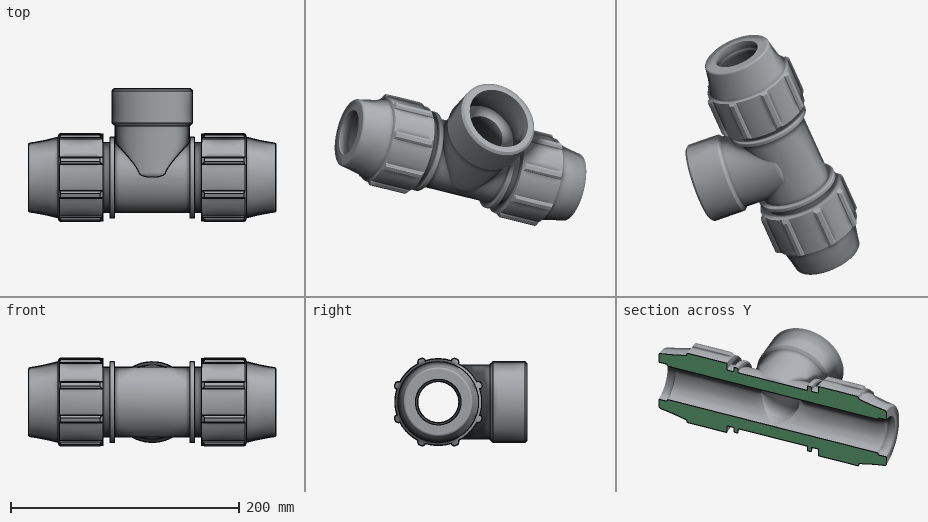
import cadquery as cq
import math

run_length = 217.0
half_run = run_length / 2
branch_end = 78.0

run_radius = 61.5 / 2
bore_radius = 36.0 / 2
socket_radius = 40.0 / 2
socket_depth = 7.3
socket_cone_length = 1.2

ring_radius = 71.34 / 2
ring_start = 33.0
ring_width = 4.1
ring_round = 1.0

nose_face_radius = 56.66 / 2
nose_rim_round = 2.0
nose_rim_slope = math.radians(10)
nose_base_radius = 70.82 / 2
nose_length = 26.0
nose_sag = 0.4
nut_end = 65.1
nut_radius = 38.1

rib_count = 8
rib_top_radius = 41.03
rib_top_width = 3.5
rib_shoulder_radius = 39.2
rib_width = 6.8
rib_embed = 1.0
rib_root_radius = nut_radius - rib_embed
rib_front_bevel = 2.1
rib_back_bevel = 2.6
rib_clearance = 1.0
rib_blank_radius = math.hypot(rib_top_radius, rib_top_width / 2) + rib_clearance

neck_radius = 65.15 / 2
neck_start = -0.8
neck_round = 5.0
collar_radius = 70.82 / 2
collar_length = 30.0
collar_mouth_chamfer = 2.0
collar_back_chamfer = collar_radius - neck_radius
thread_radius = 56.66 / 2
thread_depth = collar_length


def along_x(radius, start, length):
    return cq.Workplane("YZ", origin=(start, 0, 0)).circle(radius).extrude(length)


def along_y(radius, start, length):
    return cq.Workplane("XZ", origin=(0, start, 0)).circle(radius).extrude(-length)


def revolve_about_x(outline):
    return outline.close().revolve(360, (0, 0, 0), (1, 0, 0))


def rim_point(angle):
    """Point (x, radius) on the rounded rim of the nose; the angle starts at the flat end face."""
    x = -half_run + nose_rim_round * (1 - math.cos(angle))
    return x, nose_face_radius + nose_rim_round * math.sin(angle)


def nose():
    """Tapered front of the nut, at the -X end of the run."""
    round_end_angle = math.pi / 2 - nose_rim_slope
    rim_x, rim_radius = rim_point(round_end_angle)
    base_x = -half_run + nose_length
    sag_point = ((rim_x + base_x) / 2, (rim_radius + nose_base_radius) / 2 - nose_sag)
    outline = (
        cq.Workplane("XY")
        .moveTo(-half_run, 0)
        .lineTo(-half_run, nose_face_radius)
        .threePointArc(rim_point(round_end_angle / 2), (rim_x, rim_radius))
        .threePointArc(sag_point, (base_x, nose_base_radius))
        .lineTo(base_x, 0)
    )
    return revolve_about_x(outline)


def grip_envelope():
    """Turned shape that bevels both ends of the grip and its ribs."""
    base_x = -half_run + nose_length
    back_x = -half_run + nut_end
    outline = (
        cq.Workplane("XY")
        .moveTo(base_x, 0)
        .lineTo(base_x, nose_base_radius)
        .lineTo(base_x + rib_front_bevel, rib_top_radius)
        .lineTo(base_x + rib_front_bevel, rib_blank_radius)
        .lineTo(back_x - rib_back_bevel, rib_blank_radius)
        .lineTo(back_x - rib_back_bevel, rib_top_radius)
        .lineTo(back_x, nut_radius)
        .lineTo(back_x, 0)
    )
    return revolve_about_x(outline)


def rib():
    return (
        cq.Workplane("YZ", origin=(-half_run + nose_length, 0, 0))
        .moveTo(-rib_width / 2, rib_root_radius)
        .lineTo(-rib_width / 2, rib_shoulder_radius)
        .lineTo(-rib_top_width / 2, rib_top_radius)
        .lineTo(rib_top_width / 2, rib_top_radius)
        .lineTo(rib_width / 2, rib_shoulder_radius)
        .lineTo(rib_width / 2, rib_root_radius)
        .close()
        .extrude(nut_end - nose_length)
    )


def grip():
    """Ribbed gripping part of the nut."""
    blank = along_x(nut_radius, -half_run + nose_length, nut_end - nose_length)
    pitch = 360 / rib_count
    for i in range(rib_count):
        blank = blank.union(rib().rotate((0, 0, 0), (1, 0, 0), (i + 0.5) * pitch))
    return blank.intersect(grip_envelope())


def stop_ring():
    """Ring with rounded edges on the -X side of the branch."""
    return along_x(ring_radius, -ring_start - ring_width, ring_width).edges("%CIRCLE").fillet(ring_round)


def socket():
    """Entry of the run bore at the -X end, narrowing to the bore through a cone."""
    cone_start = -half_run + socket_depth
    outline = (
        cq.Workplane("XY")
        .moveTo(-half_run, 0)
        .lineTo(-half_run, socket_radius)
        .lineTo(cone_start, socket_radius)
        .lineTo(cone_start + socket_cone_length, bore_radius)
        .lineTo(cone_start + socket_cone_length, 0)
    )
    return revolve_about_x(outline)


def branch():
    collar_back = branch_end - collar_length
    neck_end = collar_back - collar_back_chamfer
    arc_inset = neck_round * (1 - math.sqrt(0.5))
    outline = (
        cq.Workplane("XY")
        .moveTo(0, neck_start)
        .lineTo(neck_radius - neck_round, neck_start)
        .threePointArc(
            (neck_radius - arc_inset, neck_start + arc_inset),
            (neck_radius, neck_start + neck_round),
        )
        .lineTo(neck_radius, neck_end)
        .lineTo(collar_radius, collar_back)
        .lineTo(collar_radius, branch_end - collar_mouth_chamfer)
        .lineTo(collar_radius - collar_mouth_chamfer, branch_end)
        .lineTo(0, branch_end)
        .close()
    )
    return outline.revolve(360, (0, 0, 0), (0, 1, 0))


body = along_x(run_radius, -half_run + nut_end, run_length - 2 * nut_end).union(branch())
for fitting in (stop_ring(), nose().union(grip())):
    body = body.union(fitting).union(fitting.mirror("YZ"))

body = body.cut(along_x(bore_radius, -half_run, run_length))
body = body.cut(socket()).cut(socket().mirror("YZ"))
body = body.cut(along_y(bore_radius, 0, branch_end))
body = body.cut(along_y(thread_radius, branch_end - thread_depth, thread_depth))

result = body